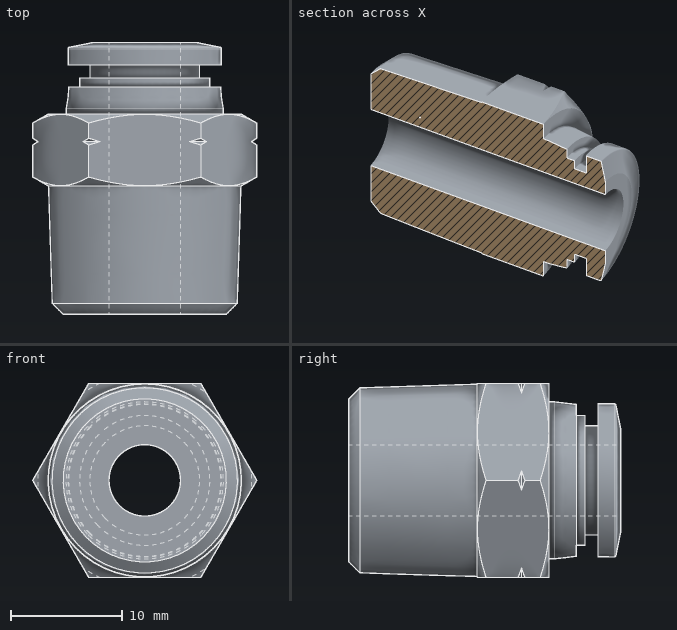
import cadquery as cq
import math


total_length = 24.45
bore_diameter = 6.4

thread_taper = 1 / 16
thread_small_radius = 8.33
thread_chamfer = 1.0

hex_across_flats = 17.46
hex_sides = 6
hex_across_corners = hex_across_flats / math.cos(math.pi / hex_sides)
hex_start = 11.55
hex_end = 18.0
hex_chamfer_angle = math.radians(30)
hex_chamfer_clearance = 0.03
hex_blank_margin = 1.0

groove_position = 15.53
groove_depth = 0.46
groove_half_width = 0.31

sleeve_radius = 7.07
sleeve_collar_length = 0.5
sleeve_end_radius = 6.84
sleeve_end = 20.45

ring_radius = 5.85
ring_end = 21.25
neck_radius = 4.93
head_start = 22.4
head_radius = 6.89
head_rim = 24.0
head_face_radius = 4.67
head_edge_fillet = 0.15


def revolve_about_y(points):
    """Turn a closed outline of (radius, Y) points about the Y axis."""
    outline = [(position, radius) for radius, position in points]
    return cq.Workplane("YZ").polyline(outline).close().revolve(360, (0, 0, 0), (1, 0, 0))


def cylinder(radius, start, end):
    """Cylinder along Y between two positions."""
    return revolve_about_y([(0, start), (radius, start), (radius, end), (0, end)])


def make_thread():
    """Tapered thread envelope with a chamfered lead-in."""
    large_radius = thread_small_radius + (hex_start - thread_chamfer) * thread_taper / 2
    return revolve_about_y([
        (0, 0),
        (thread_small_radius - thread_chamfer, 0),
        (thread_small_radius, thread_chamfer),
        (large_radius, hex_start),
        (0, hex_start),
    ])


def make_hexagon():
    """Hexagon with corners on the X axis, chamfered at both ends and grooved at its corners."""
    prism = (
        cq.Workplane("XZ", origin=(0, hex_end, 0))
        .polygon(hex_sides, hex_across_corners)
        .extrude(hex_end - hex_start)
    )
    corner_radius = hex_across_corners / 2
    chamfer_radius = hex_across_flats / 2 - hex_chamfer_clearance
    outer_radius = corner_radius + hex_blank_margin
    chamfer_length = (outer_radius - chamfer_radius) * math.tan(hex_chamfer_angle)
    groove_root = corner_radius - groove_depth
    groove_slope = groove_half_width / groove_depth
    groove_mouth = (outer_radius - groove_root) * groove_slope
    turned_blank = revolve_about_y([
        (0, hex_start),
        (chamfer_radius, hex_start),
        (outer_radius, hex_start + chamfer_length),
        (outer_radius, groove_position - groove_mouth),
        (groove_root, groove_position),
        (outer_radius, groove_position + groove_mouth),
        (outer_radius, hex_end - chamfer_length),
        (chamfer_radius, hex_end),
        (0, hex_end),
    ])
    return prism.intersect(turned_blank)


def make_sleeve():
    """Short cylindrical collar followed by a slight taper."""
    collar_end = hex_end + sleeve_collar_length
    return revolve_about_y([
        (0, hex_end),
        (sleeve_radius, hex_end),
        (sleeve_radius, collar_end),
        (sleeve_end_radius, sleeve_end),
        (0, sleeve_end),
    ])


def make_head():
    """Button head with a shallow conical end and a rounded rim."""
    head = revolve_about_y([
        (0, head_start),
        (head_radius, head_start),
        (head_radius, head_rim),
        (head_face_radius, total_length),
        (0, total_length),
    ])
    rim = head.edges("%CIRCLE").sort(lambda edge: abs(edge.Center().y - head_rim))[0]
    return rim.fillet(head_edge_fillet)


ring = cylinder(ring_radius, sleeve_end, ring_end)
neck = cylinder(neck_radius, ring_end, head_start)
bore = cylinder(bore_diameter / 2, 0, total_length)

result = (
    make_thread()
    .union(make_hexagon())
    .union(make_sleeve())
    .union(ring)
    .union(neck)
    .union(make_head())
    .cut(bore)
)